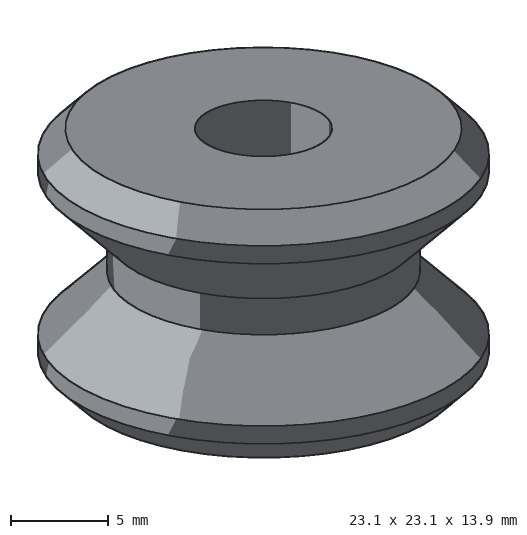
import cadquery as cq

outer_diameter = 23.07
height = 13.9
bore_diameter = 7.01
edge_chamfer = 1.4
neck_diameter = 16.0
neck_height = 2.03
groove_depth = (outer_diameter - neck_diameter) / 2

outer_radius = outer_diameter / 2
neck_radius = neck_diameter / 2
half_neck = neck_height / 2
half_groove_mouth = half_neck + groove_depth


def make_body():
    """Solid cylinder with both outer edges chamfered, centred on the origin."""
    cylinder = cq.Workplane("XY").cylinder(height, outer_radius)
    return cylinder.faces("<Z or >Z").edges().chamfer(edge_chamfer)


def make_groove():
    """Ring with sloping walls that leaves the straight neck."""
    profile = (
        cq.Workplane("XZ")
        .moveTo(neck_radius, -half_neck)
        .lineTo(outer_radius, -half_groove_mouth)
        .lineTo(outer_radius, half_groove_mouth)
        .lineTo(neck_radius, half_neck)
        .close()
    )
    return profile.revolve(360, (0, 0, 0), (0, 1, 0))


def make_bore():
    """Through hole along the roller axis."""
    return cq.Workplane("XY").cylinder(height, bore_diameter / 2)


result = make_body().cut(make_groove()).cut(make_bore())